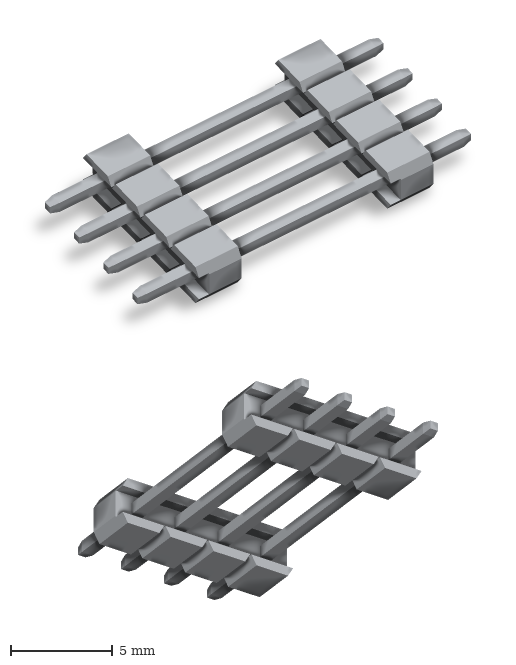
import cadquery as cq

pin_count = 4
pitch = 2.55
pin_length = 20
pin_width = 0.65
tip_width = 0.45
tip_length = 0.5

header_height = 2.55
header_depth = 2.55
header_spacing = 11.5
bevel_width = 0.35
bevel_height = 0.58

relief_depth = 0.6
relief_height = 1.5

row_width = pin_count * pitch
pin_positions = [(i - (pin_count - 1) / 2) * pitch for i in range(pin_count)]


def make_pin(x):
    """Square pin along Y, with a tapered tip at each end."""
    shaft_end = pin_length / 2 - tip_length
    pin = cq.Workplane("XY").box(pin_width, 2 * shaft_end, pin_width)
    for face in (">Y", "<Y"):
        tip = (
            pin.faces(face)
            .workplane()
            .rect(pin_width, pin_width)
            .workplane(offset=tip_length)
            .rect(tip_width, tip_width)
            .loft(combine=False)
        )
        pin = pin.union(tip)
    return pin.translate((x, 0, 0))


def make_cell(x):
    """One octagonal header cell, centred on its pin and extruded along Y."""
    half_width = pitch / 2
    half_height = header_height / 2
    top_half_width = half_width - bevel_width
    shoulder = half_height - bevel_height
    outline = [
        (-half_width, -shoulder),
        (-top_half_width, -half_height),
        (top_half_width, -half_height),
        (half_width, -shoulder),
        (half_width, shoulder),
        (top_half_width, half_height),
        (-top_half_width, half_height),
        (-half_width, shoulder),
    ]
    cell = cq.Workplane("XZ").polyline(outline).close().extrude(header_depth / 2, both=True)
    return cell.translate((x, 0, 0))


def make_header(y):
    """Row of joined cells with the relief running along the -Y face."""
    header = make_cell(pin_positions[0])
    for x in pin_positions[1:]:
        header = header.union(make_cell(x))
    relief_center_y = (relief_depth - header_depth) / 2
    relief = cq.Workplane("XY").box(row_width, relief_depth, relief_height)
    header = header.cut(relief.translate((0, relief_center_y, 0)))
    return header.translate((0, y, 0))


result = make_header(-header_spacing / 2).union(make_header(header_spacing / 2))
for pin_x in pin_positions:
    result = result.union(make_pin(pin_x))